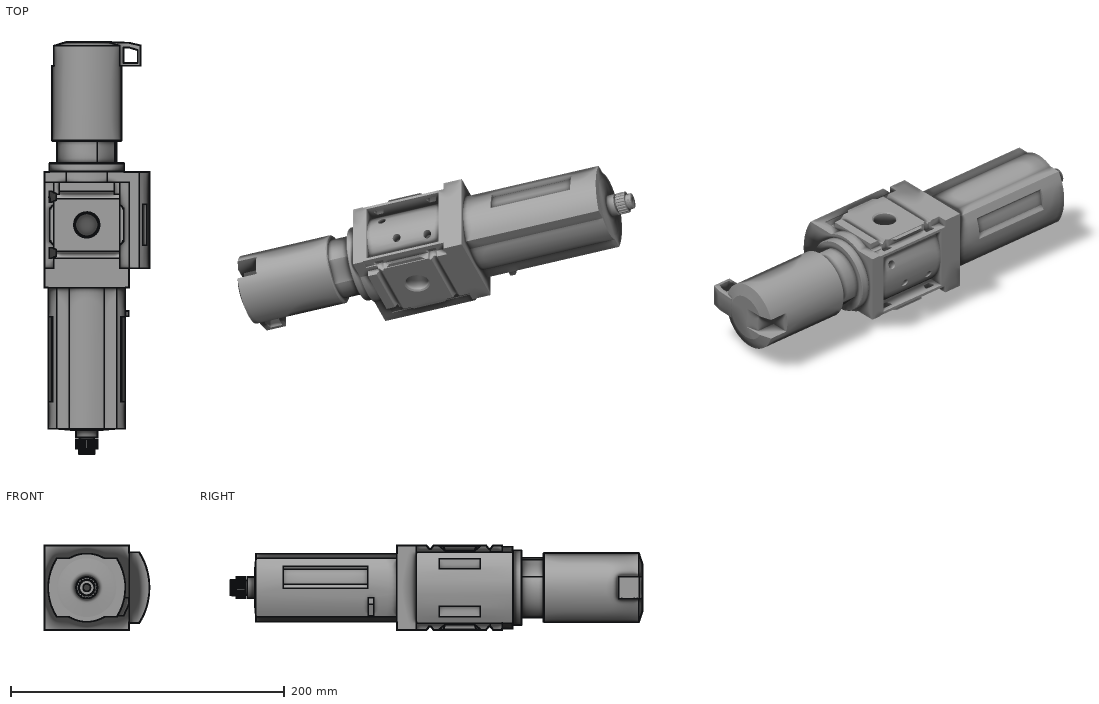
import cadquery as cq
import math


KNOB_TOP = 133.86
KNOB_RIM = 131.0
KNOB_BOTTOM = 61.2
FLANGE_TOP = 45.3
HOUSING_TOP = 38.7
PAD_TOP = 31.0
HOUSING_BOTTOM = -46.0
BOWL_BOTTOM = -149.3
BOWL_CONE_END = -150.2
COLLAR_END = -155.6
KNURL_START = -157.1
KNURL_END = -163.8
TIP_START = -164.9
DRAIN_TIP = -168.0

KNOB_DIA = 51.0
KNOB_CROWN_DIA = 34.0
KNOB_CHAMFER = 0.7
NECK_DIA = 43.8
NECK_FLATS = 40.0
NECK_FLATS_ANGLE = -45.0
FLANGE_DIA = 55.0
FLANGE_CHAMFER = 0.5
SLIDE_WIDTH = 16.0
SLIDE_BOTTOM = 116.3
SLOT_FLOOR_X = -10.0
SLOT_SLOPE_END_X = 0.0
LUG_BEND_X = 31.0
LUG_BEND_TOP = 133.3
LUG_END_X = 39.4
LUG_END_TOP = 131.4
LUG_WALL = 2.2
LUG_CROWN_WALL = 3.6
LUG_ROOT_WALL = 1.5

HOUSING_SIZE = 62.0
HALF = HOUSING_SIZE / 2
CORE_DIA = 60.2
RAIL_Z = 25.4
SHOULDER_Z = 26.0
PAD_HALF_X = 24.0
PAD_SHOULDER_Y = 22.4
PAD_UPPER_HALF_X = 20.0
PAD_LEDGE_Z = 26.2
GROOVE_INNER = 19.2
GROOVE_OUTER = 24.4
GROOVE_DEPTH = 3.3
GROOVE_ROUND = 1.0
TAB_REACH = 3.0
TAB_HALF_LENGTH = 15.0
TAB_LOW = 27.0
TAB_HIGH = 30.4
TAB_TAPER_ANGLE = 42.0
CLIP_OUTER_X = -27.5
CLIP_INNER_X = -22.5
CLIP_LOW_Y = 16.6
CLIP_HIGH_Y = 24.4
CLIP_TAPER = 1.5
PORT_DIA = 16.8
PORT_DEPTH = 15.0
PORT_CHAMFER = 1.0
WINDOW_HALF_Z = 23.3
WINDOW_HALF_Y = 28.0
SCREW_HOLE_DIA = 6.0
SCREW_HOLE_DEPTH = 8.0
SCREW_HOLES_YZ = [(17.3, 11.2), (5.5, -8.6), (-18.0, -11.0)]

COVER_EDGE_X = 38.4
COVER_CROWN_X = 46.0
COVER_BOTTOM = -31.8
GRIP_HALF_Y = 15.0
GRIP_WALL_X = 41.1
GRIP_EDGE_X = 44.0

BOWL_HALF_X = 28.2
BOWL_CORNER_X = 22.0
BOWL_FLAT_Z = 21.4
BOWL_BULGE_RADIUS = 25.0
BOWL_CONE_DIA = 42.92
BOWL_CONE_SMALL_DIA = 23.0
GLASS_TOP = -67.4
GLASS_BOTTOM = -129.4
GLASS_LOW_Z = -0.6
GLASS_HIGH_Z = 16.4
GLASS_SLOPE = 3.0
GLASS_DEPTH = 2.6
GLASS_UPPER_X = -23.4
LATCH_TOP = -63.0
LATCH_BOTTOM = -67.0
LATCH_OUTER_X = 30.8
LATCH_LOWER_X = 27.0
LATCH_HIGH_Z = -7.5
LATCH_EDGE_Z = -12.0
LATCH_LOW_Z = -20.6

COLLAR_DIA = 15.8
STEM_DIA = 11.0
TIP_DIAS = [11.8, 11.6, 11.4]
TIP_RING = 0.6
TIP_GAP = 0.5
DRAIN_BORE_DIA = 5.5
DRAIN_BORE_DEPTH = 10.0
KNURL_TEETH = 20
KNURL_GROOVE = 1.2


def plane_at(y):
    """Sketch plane across the main axis: local x is X and local y is Z."""
    return cq.Workplane("XZ", origin=(0, y, 0))


def disc(diameter, y_low, y_high):
    return plane_at(y_high).circle(diameter / 2).extrude(y_high - y_low)


def box(x0, x1, y0, y1, z0, z1):
    return cq.Workplane("XY").box(x1 - x0, y1 - y0, z1 - z0, centered=False).translate((x0, y0, z0))


def mirrored_pair(shape, plane):
    return shape.union(shape.mirror(plane))


def neck():
    """Round neck with two wrench flats."""
    shaft = disc(NECK_DIA, FLANGE_TOP, KNOB_BOTTOM)
    between_flats = (
        cq.Workplane("XY")
        .box(NECK_FLATS, KNOB_BOTTOM - FLANGE_TOP, 2 * NECK_DIA)
        .translate((0, (KNOB_BOTTOM + FLANGE_TOP) / 2, 0))
        .rotate((0, 0, 0), (0, 1, 0), NECK_FLATS_ANGLE)
    )
    return shaft.intersect(between_flats)


def knob_grip():
    radius = KNOB_DIA / 2
    profile = (
        cq.Workplane("XY")
        .moveTo(0, KNOB_BOTTOM)
        .lineTo(radius - KNOB_CHAMFER, KNOB_BOTTOM)
        .lineTo(radius, KNOB_BOTTOM + KNOB_CHAMFER)
        .lineTo(radius, KNOB_RIM)
        .lineTo(KNOB_CROWN_DIA / 2, KNOB_TOP)
        .lineTo(0, KNOB_TOP)
        .close()
    )
    grip = profile.revolve(360, (0, 0, 0), (0, 1, 0))
    half_width = SLIDE_WIDTH / 2
    slot = (
        cq.Workplane("XY", origin=(0, 0, -half_width))
        .polyline([
            (-KNOB_DIA, SLIDE_BOTTOM),
            (SLOT_FLOOR_X, SLIDE_BOTTOM),
            (SLOT_FLOOR_X, KNOB_RIM),
            (SLOT_SLOPE_END_X, KNOB_TOP),
            (-KNOB_DIA, KNOB_TOP),
        ])
        .close()
        .extrude(SLIDE_WIDTH)
    )
    return grip.cut(slot)


def locking_lug():
    """Padlock eye that sticks out of the knob on the +X side."""
    crown_x = KNOB_CROWN_DIA / 2
    eye_left = KNOB_DIA / 2 + LUG_ROOT_WALL
    eye_right = LUG_END_X - LUG_WALL
    bottom_plane = cq.Workplane("XY", origin=(0, 0, -SLIDE_WIDTH / 2))
    plate = (
        bottom_plane
        .polyline([
            (crown_x, SLIDE_BOTTOM),
            (LUG_END_X, SLIDE_BOTTOM),
            (LUG_END_X, LUG_END_TOP),
            (LUG_BEND_X, LUG_BEND_TOP),
            (crown_x, KNOB_TOP),
        ])
        .close()
        .extrude(SLIDE_WIDTH)
    )
    eye = (
        bottom_plane
        .polyline([
            (eye_left, SLIDE_BOTTOM + LUG_WALL),
            (eye_right, SLIDE_BOTTOM + LUG_WALL),
            (eye_right, LUG_END_TOP - LUG_CROWN_WALL),
            (LUG_BEND_X, LUG_BEND_TOP - LUG_CROWN_WALL),
            (eye_left, LUG_BEND_TOP - LUG_CROWN_WALL),
        ])
        .close()
        .extrude(SLIDE_WIDTH)
    )
    return plate.cut(eye)


def make_knob():
    flange = disc(FLANGE_DIA, HOUSING_TOP, FLANGE_TOP).edges().chamfer(FLANGE_CHAMFER)
    return flange.union(neck()).union(knob_grip()).union(locking_lug())


def front_pad():
    """Port face on the +Z side, standing above the rails and crossed by two V grooves."""
    pad = box(-PAD_HALF_X, PAD_HALF_X, COVER_BOTTOM, PAD_SHOULDER_Y, 0, HALF)
    pad = pad.union(box(-PAD_HALF_X, PAD_HALF_X, 0, PAD_TOP, 0, PAD_LEDGE_Z))
    pad = pad.union(box(-PAD_UPPER_HALF_X, PAD_UPPER_HALF_X, 0, PAD_TOP, 0, HALF))
    middle = (GROOVE_INNER + GROOVE_OUTER) / 2
    groove = (
        cq.Workplane("YZ", origin=(-HALF, 0, 0))
        .polyline([(GROOVE_INNER, HALF), (middle, HALF - GROOVE_DEPTH), (GROOVE_OUTER, HALF)])
        .close()
        .extrude(HOUSING_SIZE)
        .edges("<Z")
        .fillet(GROOVE_ROUND)
    )
    pad = pad.cut(mirrored_pair(groove, "XZ"))
    tab_x = PAD_HALF_X + TAB_REACH
    short_half = TAB_HALF_LENGTH - TAB_REACH
    undercut_tabs = (
        cq.Workplane("XY", origin=(0, 0, TAB_HIGH))
        .polyline([
            (-tab_x, -short_half),
            (-PAD_HALF_X, -TAB_HALF_LENGTH),
            (PAD_HALF_X, -TAB_HALF_LENGTH),
            (tab_x, -short_half),
            (tab_x, short_half),
            (PAD_HALF_X, TAB_HALF_LENGTH),
            (-PAD_HALF_X, TAB_HALF_LENGTH),
            (-tab_x, short_half),
        ])
        .close()
        .extrude(TAB_LOW - TAB_HIGH, taper=TAB_TAPER_ANGLE)
    )
    return pad.union(undercut_tabs)


def port():
    bore = cq.Workplane("XY", origin=(0, 0, HALF - PORT_DEPTH)).circle(PORT_DIA / 2).extrude(PORT_DEPTH)
    mouth_radius = PORT_DIA / 2 + PORT_CHAMFER
    mouth = cq.Solid.makeCone(
        mouth_radius, PORT_DIA / 2, PORT_CHAMFER, cq.Vector(0, 0, HALF), cq.Vector(0, 0, -1)
    )
    return bore.union(cq.Workplane(mouth))


def cover():
    """Cover on the +X side: arched outer face with a stepped finger grip at both edges."""
    blank = (
        plane_at(HOUSING_TOP)
        .moveTo(HALF, -SHOULDER_Z)
        .lineTo(COVER_EDGE_X, -SHOULDER_Z)
        .threePointArc((COVER_CROWN_X, 0), (COVER_EDGE_X, SHOULDER_Z))
        .lineTo(HALF, SHOULDER_Z)
        .close()
        .extrude(HOUSING_TOP - COVER_BOTTOM)
    )
    rise = COVER_CROWN_X - COVER_EDGE_X
    arch_radius = (SHOULDER_Z ** 2 + rise ** 2) / (2 * rise)
    arch_center_x = COVER_CROWN_X - arch_radius
    grip_floor_z = math.sqrt(arch_radius ** 2 - (GRIP_EDGE_X - arch_center_x) ** 2)
    grip = box(GRIP_WALL_X, COVER_CROWN_X, -GRIP_HALF_Y, GRIP_HALF_Y, grip_floor_z, SHOULDER_Z)
    return blank.cut(mirrored_pair(grip, "XY"))


def clip_slots():
    """Slots through the -X rails, one beside each end of the port face."""
    slot = (
        cq.Workplane("XY")
        .polyline([
            (CLIP_OUTER_X, CLIP_LOW_Y),
            (-PAD_HALF_X - CLIP_TAPER, CLIP_LOW_Y),
            (CLIP_INNER_X, CLIP_LOW_Y + CLIP_TAPER),
            (CLIP_INNER_X, CLIP_HIGH_Y - CLIP_TAPER),
            (-PAD_HALF_X - CLIP_TAPER, CLIP_HIGH_Y),
            (CLIP_OUTER_X, CLIP_HIGH_Y),
        ])
        .close()
        .extrude(HOUSING_SIZE, both=True)
    )
    return mirrored_pair(slot, "XZ")


def make_housing():
    base = box(-HALF, HALF, HOUSING_BOTTOM, COVER_BOTTOM, -HALF, HALF)
    frame = box(-HALF, HALF, COVER_BOTTOM, PAD_TOP, -RAIL_Z, RAIL_Z)
    shoulder = box(-HALF, HALF, PAD_TOP, HOUSING_TOP, -SHOULDER_Z, SHOULDER_Z)
    neck_seat = disc(CORE_DIA, PAD_TOP, HOUSING_TOP)
    core = disc(CORE_DIA, COVER_BOTTOM, PAD_TOP)
    window = box(-HALF, 0, -WINDOW_HALF_Y, WINDOW_HALF_Y, -WINDOW_HALF_Z, WINDOW_HALF_Z)
    pads = mirrored_pair(front_pad(), "XY")
    body = base.union(frame).union(shoulder).union(neck_seat).union(pads).union(cover())
    body = body.cut(window.union(clip_slots()).cut(core))
    body = body.cut(mirrored_pair(port(), "XY"))
    screw_holes = (
        cq.Workplane("YZ", origin=(-HALF, 0, 0))
        .pushPoints(SCREW_HOLES_YZ)
        .circle(SCREW_HOLE_DIA / 2)
        .extrude(SCREW_HOLE_DEPTH)
    )
    return body.cut(screw_holes)


def bowl_section(inset):
    """Bowl cross-section; the two side arcs move inwards by the inset."""
    side_x = BOWL_HALF_X - inset
    corner_x = BOWL_CORNER_X - inset
    bulge_x = math.sqrt(BOWL_BULGE_RADIUS ** 2 - BOWL_FLAT_Z ** 2)
    return (
        plane_at(HOUSING_BOTTOM)
        .moveTo(-corner_x, BOWL_FLAT_Z)
        .lineTo(-bulge_x, BOWL_FLAT_Z)
        .threePointArc((0, BOWL_BULGE_RADIUS), (bulge_x, BOWL_FLAT_Z))
        .lineTo(corner_x, BOWL_FLAT_Z)
        .threePointArc((side_x, 0), (corner_x, -BOWL_FLAT_Z))
        .lineTo(bulge_x, -BOWL_FLAT_Z)
        .threePointArc((0, -BOWL_BULGE_RADIUS), (-bulge_x, -BOWL_FLAT_Z))
        .lineTo(-corner_x, -BOWL_FLAT_Z)
        .threePointArc((-side_x, 0), (-corner_x, BOWL_FLAT_Z))
        .close()
        .extrude(HOUSING_BOTTOM - BOWL_BOTTOM)
    )


def sight_glass_recess():
    """Recess on the -X side with sloping long walls and a floor that follows the bowl."""
    floor_x = -BOWL_HALF_X + GLASS_DEPTH
    wedge = (
        plane_at(GLASS_TOP)
        .polyline([
            (-BOWL_HALF_X, GLASS_LOW_Z),
            (floor_x, GLASS_LOW_Z + GLASS_SLOPE),
            (-BOWL_CORNER_X, GLASS_LOW_Z + GLASS_SLOPE),
            (-BOWL_CORNER_X, GLASS_HIGH_Z - GLASS_SLOPE),
            (GLASS_UPPER_X, GLASS_HIGH_Z - GLASS_SLOPE),
            (floor_x, GLASS_HIGH_Z),
            (-BOWL_HALF_X, GLASS_HIGH_Z),
        ])
        .close()
        .extrude(GLASS_TOP - GLASS_BOTTOM)
    )
    return wedge.cut(bowl_section(GLASS_DEPTH))


def latch():
    """Release catch on the +X side of the bowl."""
    return (
        plane_at(LATCH_TOP)
        .polyline([
            (BOWL_CORNER_X, LATCH_HIGH_Z),
            (LATCH_OUTER_X, LATCH_HIGH_Z),
            (LATCH_OUTER_X, LATCH_EDGE_Z),
            (LATCH_LOWER_X, LATCH_LOW_Z),
            (BOWL_CORNER_X, LATCH_LOW_Z),
        ])
        .close()
        .extrude(LATCH_TOP - LATCH_BOTTOM)
    )


def drain():
    fitting = disc(STEM_DIA, DRAIN_TIP, BOWL_BOTTOM)
    fitting = fitting.union(disc(COLLAR_DIA, COLLAR_END, BOWL_BOTTOM))
    ring = disc(COLLAR_DIA, KNURL_END, KNURL_START)
    for index in range(KNURL_TEETH):
        groove = (
            plane_at(KNURL_START)
            .center(COLLAR_DIA / 2, 0)
            .circle(KNURL_GROOVE / 2)
            .extrude(KNURL_START - KNURL_END)
            .rotate((0, 0, 0), (0, 1, 0), 360 * index / KNURL_TEETH)
        )
        ring = ring.cut(groove)
    fitting = fitting.union(ring)
    ring_top = TIP_START
    for diameter in TIP_DIAS:
        fitting = fitting.union(disc(diameter, ring_top - TIP_RING, ring_top))
        ring_top -= TIP_RING + TIP_GAP
    return fitting.cut(disc(DRAIN_BORE_DIA, DRAIN_TIP, DRAIN_TIP + DRAIN_BORE_DEPTH))


def make_bowl():
    shell = bowl_section(0).union(latch())
    recess = sight_glass_recess()
    shell = shell.cut(mirrored_pair(recess, "YZ"))
    cone = cq.Solid.makeCone(
        BOWL_CONE_DIA / 2,
        BOWL_CONE_SMALL_DIA / 2,
        BOWL_BOTTOM - BOWL_CONE_END,
        cq.Vector(0, BOWL_BOTTOM, 0),
        cq.Vector(0, -1, 0),
    )
    return shell.union(cq.Workplane(cone)).union(drain())


knob = make_knob()
housing = make_housing()
bowl = make_bowl()

result = cq.Compound.makeCompound([knob.solids().val(), housing.solids().val(), bowl.solids().val()])